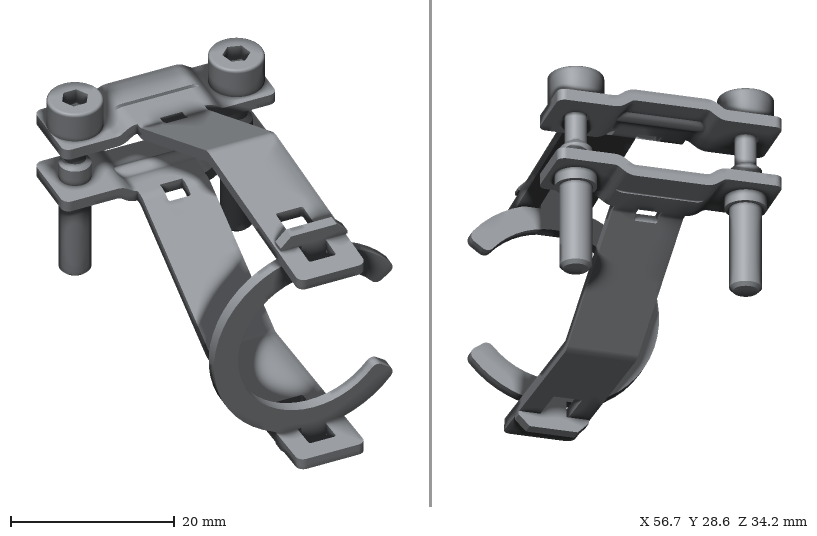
import cadquery as cq
import math


sheet = 1.5
bend_radius = 1.0
mid_bend_radius = bend_radius + sheet / 2
strap_width = 9.0
corner_radius = 1.0

clamp_length = 9.0
clamp_span = 28.65
ear_gap_half = 3.25
step_drop = 1.15
step_angle = 35.0

overall_length = 56.7
arm_flat = 0.6
arm_rise_angle = 27.0
arm_rise_length = 21.2
arm_lean_angle = 3.0

bend_slot_end = 11.0
bend_slot_width = 3.0
hook_slot_start = 43.8
hook_slot_end = 53.75
hook_slot_width = 3.65
slot_corner = 0.3

bead_x = 4.75
bead_height = 0.5
bead_groove_radius = 0.3
bead_half_length = 5.8

head_diameter = 7.0
screw_x = clamp_length / 2
screw_y = (clamp_span - head_diameter) / 2
head_height = 4.0
head_fillet = 0.4
neck_diameter = 2.7
neck_bottom_z = -0.4
shank_diameter = 4.0
screw_bottom_z = -17.3
tip_chamfer = 0.45
hex_flats = 3.0
hex_depth = 2.0
hex_cone_angle = 120.0
hex_turns = {-1: 30.0, 1: 15.0}

neck_hole_diameter = 3.25
collar_diameter = 5.2
collar_height = 1.5

hook_x = 49.25
hook_thickness = 1.6
hook_y = 0.15
ring_outer_radius = 13.45
ring_inner_radius = 10.2
ring_gap_half_angle = 35.5
ring_end_fillet = 0.95
ring_flat_half = 12.9
hook_neck_width = 3.25
hook_half_height = 16.85
crossbar_half_width = 4.5
crossbar_height = 1.9
crossbar_chamfer = 1.4

ear_top_z = ear_gap_half + sheet
panel_bottom_z = ear_gap_half + step_drop
panel_top_z = panel_bottom_z + sheet
ear_mid_z = ear_gap_half + sheet / 2
panel_mid_z = panel_bottom_z + sheet / 2


def bent_sheet(plane, start, moves, depth):
    """Sheet seen edge-on in the plane: straight runs, each followed by a bend, extruded by the depth."""

    def offset_point(position, heading, offset):
        u = position[0] - offset * math.sin(heading)
        v = position[1] + offset * math.cos(heading)
        return plane.toWorldCoords((u, v))

    faces = (-sheet / 2, sheet / 2)
    heading = 0.0
    position = start
    edges = [cq.Edge.makeLine(*(offset_point(position, heading, face) for face in faces))]
    for run, turn_degrees in moves:
        run_end = (position[0] + run * math.cos(heading), position[1] + run * math.sin(heading))
        for face in faces:
            edges.append(
                cq.Edge.makeLine(offset_point(position, heading, face), offset_point(run_end, heading, face))
            )
        position = run_end
        if turn_degrees == 0:
            continue
        turn = math.radians(turn_degrees)
        side = math.copysign(mid_bend_radius, turn)
        center = (position[0] - side * math.sin(heading), position[1] + side * math.cos(heading))
        for face in faces:
            stations = [heading, heading + turn / 2, heading + turn]
            edges.append(
                cq.Edge.makeThreePointArc(*(offset_point(center, angle, face - side) for angle in stations))
            )
        heading += turn
        position = (center[0] + side * math.sin(heading), center[1] - side * math.cos(heading))
    edges.append(cq.Edge.makeLine(*(offset_point(position, heading, face) for face in faces)))
    outline = cq.Wire.assembleEdges(edges)
    return cq.Workplane(cq.Solid.extrudeLinear(outline, [], plane.zDir * depth))


def clamp_plate():
    angle = math.radians(step_angle)
    slope = (step_drop - 2 * mid_bend_radius * (1 - math.cos(angle))) / math.sin(angle)
    step_run = 2 * mid_bend_radius * math.sin(angle) + slope * math.cos(angle)
    ear = (clamp_span - strap_width) / 2 - step_run
    moves = [
        (ear, step_angle),
        (slope, -step_angle),
        (strap_width, -step_angle),
        (slope, step_angle),
        (ear, 0),
    ]
    plate = bent_sheet(cq.Plane.YZ(), (-clamp_span / 2, ear_mid_z), moves, clamp_length)
    return plate.edges("|Z").fillet(corner_radius)


def arm():
    rise = math.radians(arm_rise_angle)
    lean = math.radians(arm_lean_angle)
    bends_run = mid_bend_radius * (2 * math.sin(rise) + math.sin(lean))
    lean_start = clamp_length + arm_flat + bends_run + arm_rise_length * math.cos(rise)
    tip = overall_length - sheet / 2 * math.sin(lean)
    moves = [
        (arm_flat, arm_rise_angle),
        (arm_rise_length, -arm_rise_angle - arm_lean_angle),
        ((tip - lean_start) / math.cos(lean), 0),
    ]
    plane = cq.Plane.XZ(origin=(0, strap_width / 2, 0))
    strip = bent_sheet(plane, (clamp_length, panel_mid_z), moves, strap_width)
    return strip.faces(">X").edges("not |Y").fillet(corner_radius)


def hook_slot():
    """Long opening near the tip of the arm, which the neck of the hook passes through."""
    slot_length = hook_slot_end - hook_slot_start
    plane = cq.Workplane("XY", origin=(hook_slot_start + slot_length / 2, 0, 0))
    slot = plane.rect(slot_length, hook_slot_width).extrude(overall_length)
    return slot.edges("|Z").fillet(slot_corner)


def bend_slot():
    """Opening in the first bend: upright near wall, far wall square to the rising sheet."""
    rise = math.radians(arm_rise_angle)
    rise_start_x = clamp_length + arm_flat + bend_radius * math.sin(rise)
    rise_start_z = panel_top_z + bend_radius * (1 - math.cos(rise))
    far_edge_z = rise_start_z + (bend_slot_end - rise_start_x) * math.tan(rise)
    rising_plane = cq.Plane(
        origin=(bend_slot_end, 0, far_edge_z),
        xDir=(math.cos(rise), 0, math.sin(rise)),
        normal=(-math.sin(rise), 0, math.cos(rise)),
    )
    cutter_size = 2 * clamp_length
    sloped = (
        cq.Workplane(rising_plane)
        .center(-cutter_size / 2, 0)
        .rect(cutter_size, bend_slot_width)
        .extrude(cutter_size / 2, both=True)
        .faces(">X")
        .edges("not |Y")
        .fillet(slot_corner)
    )
    beyond_clamp = cq.Workplane("XY", origin=(clamp_length, 0, panel_bottom_z)).box(
        clamp_length, clamp_length, clamp_length, centered=(False, True, True)
    )
    return sloped.intersect(beyond_clamp)


def bead_cylinder(radius):
    plane = cq.Workplane("XZ", origin=(bead_x, bead_half_length, panel_top_z))
    return plane.circle(radius).extrude(2 * bead_half_length)


def bead_bump():
    """Segment of a cylinder, centred on the top of the panel, that stands out below the panel."""
    radius = sheet + bead_height
    above_panel_bottom = cq.Workplane("XY", origin=(bead_x, 0, panel_bottom_z)).box(
        2 * radius, 2 * bead_half_length, 2 * radius, centered=(True, True, False)
    )
    return bead_cylinder(radius).cut(above_panel_bottom)


def strap_blank():
    """Upper strap without its screw holes."""
    blank = clamp_plate().union(arm()).union(bead_bump()).cut(bead_cylinder(bead_groove_radius))
    return blank.cut(hook_slot()).cut(bend_slot())


def screw_cylinders(diameter, bottom_z, height):
    """One cylinder on each screw axis."""
    plane = cq.Workplane("XY", origin=(screw_x, 0, bottom_z))
    return plane.pushPoints([(0, -screw_y), (0, screw_y)]).circle(diameter / 2).extrude(height)


def make_upper_strap():
    return strap_blank().cut(screw_cylinders(neck_hole_diameter, ear_gap_half, sheet))


def make_lower_strap():
    """Mirror image of the upper strap, with a collar under each screw hole."""
    collar_bottom_z = -ear_top_z - collar_height
    strap = strap_blank().mirror("XY")
    strap = strap.union(screw_cylinders(collar_diameter, collar_bottom_z, collar_height))
    return strap.cut(screw_cylinders(shank_diameter, collar_bottom_z, collar_height + sheet))


def hex_socket(top_z, turn):
    """Hexagonal recess with a conical floor."""
    corner = hex_flats / math.sqrt(3)
    cone_depth = corner / math.tan(math.radians(hex_cone_angle / 2))
    total_depth = hex_depth + cone_depth
    drill = (
        cq.Workplane("XZ")
        .polyline([(0, top_z), (corner, top_z), (corner, top_z - hex_depth), (0, top_z - total_depth)])
        .close()
        .revolve(360, (0, 0, 0), (0, 1, 0))
    )
    hexagon = cq.Workplane("XY", origin=(0, 0, top_z)).polygon(6, 2 * corner).extrude(-total_depth)
    return hexagon.intersect(drill).rotate((0, 0, 0), (0, 0, 1), turn)


def make_screw(side):
    head_radius = head_diameter / 2
    neck_radius = neck_diameter / 2
    shank_radius = shank_diameter / 2
    head_top_z = ear_top_z + head_height
    profile = [
        (0, head_top_z),
        (head_radius, head_top_z),
        (head_radius, ear_top_z),
        (neck_radius, ear_top_z),
        (neck_radius, neck_bottom_z),
        (shank_radius, neck_bottom_z - (shank_radius - neck_radius)),
        (shank_radius, screw_bottom_z + tip_chamfer),
        (shank_radius - tip_chamfer, screw_bottom_z),
        (0, screw_bottom_z),
    ]
    screw = cq.Workplane("XZ").polyline(profile).close().revolve(360, (0, 0, 0), (0, 1, 0))
    screw = screw.faces(">Z").edges().fillet(head_fillet)
    screw = screw.cut(hex_socket(head_top_z, hex_turns[side]))
    return screw.translate((screw_x, side * screw_y, 0))


def hook_plane():
    return cq.Workplane("YZ", origin=(hook_x, hook_y, 0))


def hook_ring():
    """Ring with flats at top and bottom, and a gap on the +Y side with rounded end corners."""
    gap_rise = ring_outer_radius * math.tan(math.radians(ring_gap_half_angle))
    wedge = (
        hook_plane()
        .polyline([(0, 0), (ring_outer_radius, gap_rise), (ring_outer_radius, -gap_rise)])
        .close()
        .extrude(hook_thickness)
    )
    ring = hook_plane().circle(ring_outer_radius).circle(ring_inner_radius).extrude(hook_thickness)
    flats = hook_plane().rect(2 * ring_outer_radius, 2 * ring_flat_half).extrude(hook_thickness)
    ring = ring.intersect(flats)
    return ring.cut(wedge).edges("|X").edges(">Y or >>Y[-2]").fillet(ring_end_fillet)


def hook_tab():
    """Neck and chamfered crossbar on the upper side of the ring."""
    root_z = (ring_inner_radius + ring_flat_half) / 2
    neck_length = hook_half_height - root_z
    neck = (
        hook_plane()
        .center(0, root_z + neck_length / 2)
        .rect(hook_neck_width, neck_length)
        .extrude(hook_thickness)
    )
    crossbar = (
        hook_plane()
        .center(0, hook_half_height - crossbar_height / 2)
        .rect(2 * crossbar_half_width, crossbar_height)
        .extrude(hook_thickness)
        .faces(">Z")
        .edges("|X")
        .chamfer(crossbar_chamfer)
    )
    return neck.union(crossbar)


def make_hook():
    tab = hook_tab()
    return hook_ring().union(tab).union(tab.mirror("XY"))


upper_strap = make_upper_strap()
lower_strap = make_lower_strap()
hook = make_hook()
screws = [make_screw(side) for side in (-1, 1)]

result = cq.Compound.makeCompound(
    [upper_strap.val(), lower_strap.val(), hook.val(), *(screw.val() for screw in screws)]
)